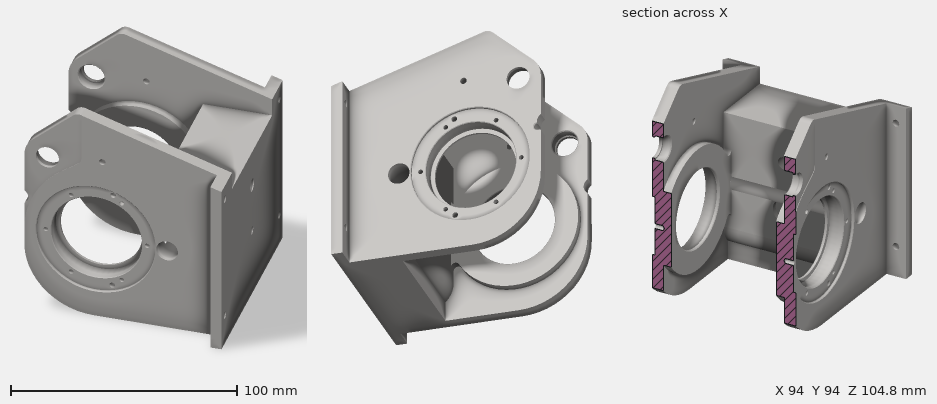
import cadquery as cq
import math

LENGTH = 94.0
WIDTH = 94.0
HEIGHT = 104.8

PLATE_INNER_Y = 30.8
PLATE_OUTER_Y = 36.8
RELIEF_DEPTH = 0.2
FRONT_OUTER_Y = PLATE_OUTER_Y + RELIEF_DEPTH
BOTTOM_RADIUS = 32.0
PEAK_RADIUS = 4.0
PEAK_X = 25.2
PEAK_Z = HEIGHT - PEAK_RADIUS
BACK_TOP_Z = 83.2
LUG_RADIUS = 10.6
LUG_X = LUG_RADIUS
LUG_Z = 79.3
LUG_HOLE_DIAMETER = 10.6
LUG_COUNTERBORE_DIAMETER = 12.0
LUG_LIP_THICKNESS = 1.6
HOLE_CHAMFER = 0.4

FLANGE_THICKNESS = 5.1
FLANGE_HOLE_Y = 41.8
FLANGE_HOLE_ZS = (14.9, 76.2)
FLANGE_HOLE_DIAMETER = 3.4

BORE_X = 32.9
BORE_Z = 40.5
LIP_RADIUS = 19.0
BEARING_RADIUS = 21.0
SEAT_RADIUS = 27.5
BOSS_RADIUS = 29.9
BOSS_HEIGHT = 4.0
BOSS_FILLET = 2.0
SEAT_DEPTH = 1.4
LIP_THICKNESS = 1.5
EDGE_CHAMFER = 0.3
SCREW_DIAMETER = 2.2
SCREW_CIRCLE_RADIUS = 23.4
SCREW_COUNT = 6
PIN_DIAMETER = 2.6
PIN_CIRCLE_RADIUS = 24.9
PIN_ANGLES = (72, -73)
RING_HOLE_DEPTH = 4.2
DRILL_POINT_HEIGHT = 0.6

RELIEF_EDGE_X = 26.3
RELIEF_ARC_RADIUS = 40.0
RELIEF_SLOPE_ANGLE = 35.6
RELIEF_CORNER_RADIUS = 4.0

SIGHT_HOLE_X = 35.9
SIGHT_HOLE_Z = 81.7
SIGHT_HOLE_DIAMETER = 3.0
NOTCH_X = -2.2
NOTCH_Z = 56.5
NOTCH_RADIUS = 4.0
GROOVE_X = 1.7
GROOVE_Z = 54.1
GROOVE_RADIUS = 1.6
GROOVE_MOUTH_DROP = 2.1

WEB_X = 62.1
WEB_TOP_Z = 74.7
WEB_STEP_Z = 9.1
WEB_ROUND_DROP = 8.8
WEB_ROUND_RADIUS = 12.0
CROSS_HOLE_X = 65.9
CROSS_HOLE_DIAMETER = 10.0
WEB_UPPER_HOLE_Z = 57.2
WEB_UPPER_HOLE_DIAMETER = 6.0
WEB_LOWER_HOLE_Z = 33.3
WEB_LOWER_HOLE_DIAMETER = 3.7
SPOTFACE_DIAMETER = 11.3
SPOTFACE_FLOOR_X = 64.7


def polar(x, z, radius, degrees):
    """Point at an angle on a circle in the XZ plane."""
    angle = math.radians(degrees)
    return (x + radius * math.cos(angle), z + radius * math.sin(angle))


def cylinder_y(x, z, radius, y_start, y_end):
    """Cylinder along Y between two Y positions."""
    return cq.Workplane("XZ", origin=(x, y_start, z)).circle(radius).extrude(y_start - y_end)


def cylinder_x(y, z, radius, x_start, x_end):
    """Cylinder along X between two X positions."""
    return cq.Workplane("YZ", origin=(x_start, y, z)).circle(radius).extrude(x_end - x_start)


def cone_y(x, z, radius_start, radius_end, y_start, y_end):
    """Cone frustum along Y between two Y positions."""
    frustum = cq.Solid.makeCone(
        radius_start, radius_end, abs(y_end - y_start),
        cq.Vector(x, y_start, z), cq.Vector(0, math.copysign(1, y_end - y_start), 0),
    )
    return cq.Workplane(obj=frustum)


def chamfered_hole(x, z, radius, y_start, y_end):
    """Hole along Y that flares at both ends."""
    wide = radius + HOLE_CHAMFER
    flare = math.copysign(HOLE_CHAMFER, y_end - y_start)
    hole = cylinder_y(x, z, radius, y_start, y_end)
    hole = hole.union(cone_y(x, z, wide, radius, y_start, y_start + flare))
    return hole.union(cone_y(x, z, radius, wide, y_end - flare, y_end))


def tangent_angle(x, z, radius, from_x, from_z):
    """Polar angle where the upper tangent through a right-hand point touches a circle."""
    toward_point = math.atan2(from_z - z, from_x - x)
    opening = math.acos(radius / math.hypot(from_x - x, from_z - z))
    return math.degrees(toward_point + opening)


def side_outline(y_start, y_end):
    """Side plate profile extruded between two Y positions."""
    lug_to_peak = math.degrees(math.atan2(PEAK_Z - LUG_Z, PEAK_X - LUG_X))
    spacing = math.hypot(PEAK_X - LUG_X, PEAK_Z - LUG_Z)
    slant_angle = lug_to_peak + math.degrees(math.acos((LUG_RADIUS - PEAK_RADIUS) / spacing))
    top_angle = tangent_angle(PEAK_X, PEAK_Z, PEAK_RADIUS, LENGTH, BACK_TOP_Z)
    return (
        cq.Workplane("XZ", origin=(0, y_start, 0))
        .moveTo(LENGTH, 0)
        .lineTo(LENGTH, BACK_TOP_Z)
        .lineTo(*polar(PEAK_X, PEAK_Z, PEAK_RADIUS, top_angle))
        .threePointArc(
            (PEAK_X, HEIGHT),
            polar(PEAK_X, PEAK_Z, PEAK_RADIUS, slant_angle),
        )
        .lineTo(*polar(LUG_X, LUG_Z, LUG_RADIUS, slant_angle))
        .threePointArc(
            polar(LUG_X, LUG_Z, LUG_RADIUS, (slant_angle + 180) / 2),
            (0, LUG_Z),
        )
        .lineTo(0, BOTTOM_RADIUS)
        .threePointArc(
            polar(BOTTOM_RADIUS, BOTTOM_RADIUS, BOTTOM_RADIUS, 225),
            (BOTTOM_RADIUS, 0),
        )
        .close()
        .extrude(y_start - y_end)
    )


def flange_zone(side):
    """Box that keeps only the back strip of the profile outside a plate."""
    width = WIDTH / 2 - PLATE_INNER_Y
    return (
        cq.Workplane("XY")
        .box(FLANGE_THICKNESS, width, HEIGHT, centered=(False, True, False))
        .translate((LENGTH - FLANGE_THICKNESS, side * (PLATE_INNER_Y + width / 2), 0))
    )


def side_plate(side, outer_y):
    """Plate with its inner boss and back flange; side is -1 or 1."""
    plate = side_outline(side * PLATE_INNER_Y, side * outer_y)
    flange = side_outline(side * PLATE_INNER_Y, side * WIDTH / 2).intersect(flange_zone(side))
    boss = cylinder_y(
        BORE_X, BORE_Z, BOSS_RADIUS, side * (PLATE_INNER_Y - BOSS_HEIGHT), side * PLATE_INNER_Y
    )
    return plate.union(flange).union(boss).union(boss_web_fill(side))


def boss_web_fill(side):
    """Material joining a boss to the web, with concave fillets above and below."""
    fillet_x = WEB_X - BOSS_FILLET
    offset = fillet_x - BORE_X
    fillet_angle = math.degrees(math.acos(offset / (BOSS_RADIUS + BOSS_FILLET)))
    upper = polar(BORE_X, BORE_Z, BOSS_RADIUS, fillet_angle)
    lower = polar(BORE_X, BORE_Z, BOSS_RADIUS, -fillet_angle)
    rise = offset * math.tan(math.radians(fillet_angle))
    return (
        cq.Workplane("XZ", origin=(0, side * PLATE_INNER_Y, 0))
        .moveTo(*lower)
        .lineTo(*upper)
        .radiusArc((WEB_X, BORE_Z + rise), -BOSS_FILLET)
        .lineTo(WEB_X, BORE_Z - rise)
        .radiusArc(lower, -BOSS_FILLET)
        .close()
        .extrude(side * BOSS_HEIGHT)
    )


def bore_cut(side, outer_y):
    """Stepped bore, ring seat and ring holes cut from the outer face of a plate."""
    outer = side * outer_y
    seat = side * (outer_y - SEAT_DEPTH)
    boss_face = side * (PLATE_INNER_Y - BOSS_HEIGHT)
    lip = boss_face + side * LIP_THICKNESS
    chamfer = side * EDGE_CHAMFER
    cut = cylinder_y(BORE_X, BORE_Z, SEAT_RADIUS, seat, outer)
    cut = cut.union(cone_y(
        BORE_X, BORE_Z, SEAT_RADIUS + EDGE_CHAMFER, SEAT_RADIUS, outer, outer - chamfer))
    cut = cut.union(cylinder_y(BORE_X, BORE_Z, BEARING_RADIUS, lip, outer))
    cut = cut.union(cone_y(
        BORE_X, BORE_Z, BEARING_RADIUS + EDGE_CHAMFER, BEARING_RADIUS, seat, seat - chamfer))
    cut = cut.union(cylinder_y(BORE_X, BORE_Z, LIP_RADIUS, boss_face, outer))
    cut = cut.union(cone_y(
        BORE_X, BORE_Z, LIP_RADIUS + EDGE_CHAMFER, LIP_RADIUS, boss_face, boss_face + chamfer))
    hole_end = seat - side * RING_HOLE_DEPTH
    for index in range(SCREW_COUNT):
        x, z = polar(BORE_X, BORE_Z, SCREW_CIRCLE_RADIUS, index * 360 / SCREW_COUNT)
        cut = cut.union(cylinder_y(x, z, SCREW_DIAMETER / 2, hole_end, outer))
        point_end = hole_end - side * DRILL_POINT_HEIGHT
        cut = cut.union(cone_y(x, z, SCREW_DIAMETER / 2, 0, hole_end, point_end))
    for angle in PIN_ANGLES:
        x, z = polar(BORE_X, BORE_Z, PIN_CIRCLE_RADIUS, angle)
        cut = cut.union(cylinder_y(x, z, PIN_DIAMETER / 2, hole_end, outer))
    return cut


def corner_relief(outer_y):
    """Shallow relief in the upper front corner of the -Y plate's outer face."""
    arc_x = RELIEF_ARC_RADIUS
    slope_start = polar(arc_x, BORE_Z, RELIEF_ARC_RADIUS, 90 + RELIEF_SLOPE_ANGLE)
    rise = (RELIEF_EDGE_X - slope_start[0]) * math.tan(math.radians(RELIEF_SLOPE_ANGLE))
    corner_z = slope_start[1] + rise
    setback = RELIEF_CORNER_RADIUS * math.tan(math.radians((90 - RELIEF_SLOPE_ANGLE) / 2))
    round_start = polar(RELIEF_EDGE_X, corner_z, setback, 180 + RELIEF_SLOPE_ANGLE)
    return (
        cq.Workplane("XZ", origin=(0, -outer_y, 0))
        .moveTo(0, BORE_Z)
        .threePointArc(
            polar(arc_x, BORE_Z, RELIEF_ARC_RADIUS, 180 - (90 - RELIEF_SLOPE_ANGLE) / 2),
            slope_start,
        )
        .lineTo(*round_start)
        .tangentArcPoint((RELIEF_EDGE_X, corner_z + setback), relative=False)
        .lineTo(RELIEF_EDGE_X, HEIGHT)
        .lineTo(0, HEIGHT)
        .close()
        .extrude(-RELIEF_DEPTH)
    )


def web():
    """Block between the plates, stepped back at the bottom behind a rounded edge."""
    run = WEB_ROUND_RADIUS - math.sqrt(WEB_ROUND_RADIUS ** 2 - WEB_ROUND_DROP ** 2)
    step_x = WEB_X + run
    return (
        cq.Workplane("XZ", origin=(0, PLATE_INNER_Y, 0))
        .moveTo(LENGTH, 0)
        .lineTo(LENGTH, WEB_TOP_Z)
        .lineTo(WEB_X, WEB_TOP_Z)
        .lineTo(WEB_X, WEB_STEP_Z + WEB_ROUND_DROP)
        .radiusArc((step_x, WEB_STEP_Z), -WEB_ROUND_RADIUS)
        .lineTo(step_x, 0)
        .close()
        .extrude(2 * PLATE_INNER_Y)
    )


def web_cut():
    """Holes through the web along X, one with a spotface."""
    cut = cylinder_x(0, WEB_UPPER_HOLE_Z, WEB_UPPER_HOLE_DIAMETER / 2, WEB_X, LENGTH)
    cut = cut.union(cylinder_x(0, WEB_LOWER_HOLE_Z, WEB_LOWER_HOLE_DIAMETER / 2, WEB_X, LENGTH))
    return cut.union(
        cylinder_x(0, WEB_LOWER_HOLE_Z, SPOTFACE_DIAMETER / 2, WEB_X, SPOTFACE_FLOOR_X))


def across_cut():
    """Holes and front notches that run along Y through both plates."""
    half = WIDTH / 2
    cut = cylinder_y(SIGHT_HOLE_X, SIGHT_HOLE_Z, SIGHT_HOLE_DIAMETER / 2, -half, half)
    cut = cut.union(cylinder_y(CROSS_HOLE_X, BORE_Z, CROSS_HOLE_DIAMETER / 2, -half, half))
    return cut.union(cylinder_y(NOTCH_X, NOTCH_Z, NOTCH_RADIUS, -half, half))


def lug_hole_cut():
    """Lug holes, counterbored from the inner faces of the plates with a chamfered mouth."""
    cut = cylinder_y(LUG_X, LUG_Z, LUG_HOLE_DIAMETER / 2, -WIDTH / 2, WIDTH / 2)
    radius = LUG_COUNTERBORE_DIAMETER / 2
    for side in (-1, 1):
        mouth = side * PLATE_INNER_Y
        floor = side * (PLATE_OUTER_Y - LUG_LIP_THICKNESS)
        cut = cut.union(cylinder_y(LUG_X, LUG_Z, radius, mouth, floor))
        cut = cut.union(cone_y(
            LUG_X, LUG_Z, radius + HOLE_CHAMFER, radius, mouth, mouth + side * HOLE_CHAMFER))
    return cut


def flange_hole_cut():
    """Mounting holes through the back flanges."""
    cut = cq.Workplane("XY")
    for y in (-FLANGE_HOLE_Y, FLANGE_HOLE_Y):
        for z in FLANGE_HOLE_ZS:
            radius = FLANGE_HOLE_DIAMETER / 2
            cut = cut.add(cylinder_x(y, z, radius, LENGTH - FLANGE_THICKNESS, LENGTH))
    return cut.combine()


def groove_cut():
    """Round groove with a flared mouth in the front edge of the +Y plate."""
    round_part = chamfered_hole(GROOVE_X, GROOVE_Z, GROOVE_RADIUS, PLATE_INNER_Y, PLATE_OUTER_Y)
    mouth = (
        cq.Workplane("XZ", origin=(0, PLATE_INNER_Y, 0))
        .moveTo(0, GROOVE_Z + GROOVE_RADIUS)
        .lineTo(GROOVE_X, GROOVE_Z + GROOVE_RADIUS)
        .lineTo(GROOVE_X, GROOVE_Z - GROOVE_RADIUS)
        .lineTo(0, GROOVE_Z - GROOVE_MOUTH_DROP)
        .close()
        .extrude(PLATE_INNER_Y - PLATE_OUTER_Y)
    )
    return round_part.union(mouth)


result = web().union(side_plate(-1, FRONT_OUTER_Y)).union(side_plate(1, PLATE_OUTER_Y))
result = result.cut(bore_cut(-1, FRONT_OUTER_Y)).cut(bore_cut(1, PLATE_OUTER_Y))
result = result.cut(corner_relief(FRONT_OUTER_Y)).cut(web_cut())
result = result.cut(across_cut()).cut(lug_hole_cut()).cut(groove_cut()).cut(flange_hole_cut())